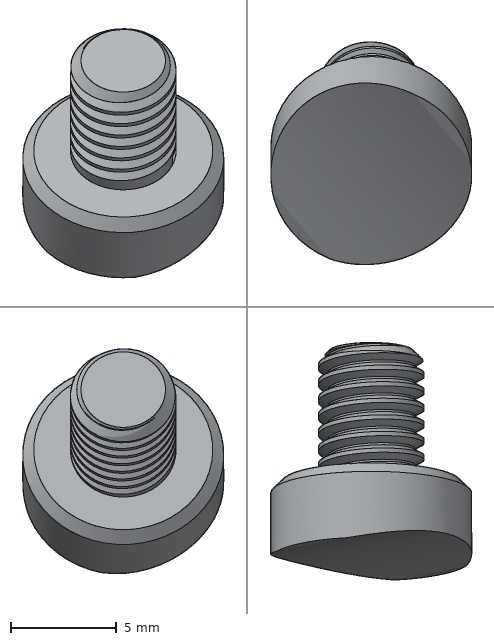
import cadquery as cq
import math

total_height = 10.03
head_diameter = 9.5
head_height = 3.7
head_chamfer = 0.52

saddle_depth = 0.52
saddle_half_width = 4.2

shank_diameter = 4.99
shank_embedding = 1.0
tip_chamfer = 0.5
pitch = 0.8
thread_depth = 0.43
root_flat = pitch / 8
flank_angle = 30.0
cutter_overshoot = 0.05

shank_radius = shank_diameter / 2


def make_head():
    """Chamfered disc with a cylindrical saddle cut into its underside."""
    head = cq.Workplane("XY").circle(head_diameter / 2).extrude(head_height)
    head = head.faces(">Z").chamfer(head_chamfer)
    saddle = (
        cq.Workplane("YZ")
        .moveTo(-saddle_half_width, 0)
        .threePointArc((0, saddle_depth), (saddle_half_width, 0))
        .close()
        .extrude(head_diameter / 2, both=True)
    )
    return head.cut(saddle)


def groove_half_width(radius):
    """Half the axial width of the thread groove at a given radius."""
    height_above_root = radius - (shank_radius - thread_depth)
    return root_flat / 2 + height_above_root * math.tan(math.radians(flank_angle))


def make_thread_groove():
    """Right-handed V groove whose lower edge starts at the head and runs out over the tip."""
    start_height = head_height + groove_half_width(shank_radius)
    groove_length = total_height + pitch - start_height
    root_radius = shank_radius - thread_depth
    outer_radius = shank_radius + cutter_overshoot

    corners = [(root_radius, -1), (outer_radius, -1), (outer_radius, 1), (root_radius, 1)]
    rails = []
    for radius, side in corners:
        base = cq.Vector(0, 0, start_height + side * groove_half_width(radius))
        rails.append(cq.Wire.makeHelix(pitch, groove_length, radius, center=base))

    next_rails = rails[1:] + rails[:1]
    faces = [cq.Face.makeRuledSurface(rail, next_rail) for rail, next_rail in zip(rails, next_rails)]
    for end in (0, 1):
        section = [rail.positionAt(end) for rail in rails]
        faces.append(cq.Face.makeFromWires(cq.Wire.makePolygon(section, close=True)))
    return cq.Workplane(cq.Solid.makeSolid(cq.Shell.makeShell(faces)))


def make_shank():
    """Threaded shank with a chamfered tip."""
    shank = (
        cq.Workplane("XY", origin=(0, 0, head_height - shank_embedding))
        .circle(shank_radius)
        .extrude(total_height - head_height + shank_embedding)
    )
    shank = shank.faces(">Z").chamfer(tip_chamfer)
    return shank.cut(make_thread_groove())


result = make_head().union(make_shank())